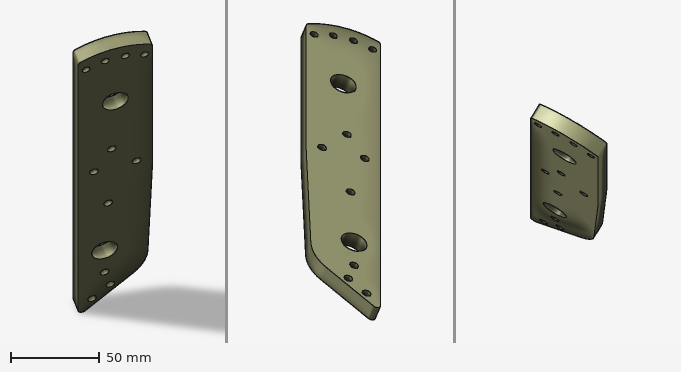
import math

import cadquery as cq

thickness = 9.53
width = 44.45
height = 242.8
half_width = width / 2
top_z = height / 2
bottom_z = -height / 2

corner_radius = 3.0
tip_radius = 2.6
crown_radius = 50.25
taper_start_z = 5.0
taper_angle = 1.93
slope_angle = 40.0
heel_radius = 25.4
tip_center = (-half_width + tip_radius, bottom_z + tip_radius)

bore_diameter = 15.25
bore_spacing_z = 139.3
upper_bore = (0.0, top_z - crown_radius)
lower_bore = (-6.35, upper_bore[1] - bore_spacing_z)

small_hole_diameter = 5.05
arc_hole_diameter = 4.6
arc_hole_radius = 41.2
arc_hole_pitch = 16.67
arc_hole_count = 4
middle_holes = [
    (-2.15, 26.7),
    (12.7, 9.25),
    (-12.7, 9.25),
    (-4.3, -24.0),
]
below_bore_drop = 20.7
below_bore_hole = (lower_bore[0], lower_bore[1] - below_bore_drop)
slope_hole = (-2.95, -101.8)
slope_hole_spacing = 14.2


def polar(center, radius, degrees):
    """Point at a distance and angle (from +Y toward +Z) from a centre."""
    angle = math.radians(degrees)
    return (center[0] + radius * math.cos(angle), center[1] + radius * math.sin(angle))


def sharp_heel(slope_start):
    """Corner where the tapered edge would meet the sloped edge without a blend."""
    slope = math.tan(math.radians(slope_angle))
    lean = math.tan(math.radians(taper_angle))
    base_y = half_width - lean * taper_start_z
    heel_z = slope_start[1] + slope * (base_y - slope_start[0])
    heel_z /= 1 - slope * lean
    return (base_y + lean * heel_z, heel_z)


def heel_blend(heel):
    """Start, middle and end of the arc that is tangent to both edges at the heel."""
    turn = 90 - slope_angle - taper_angle
    setback = heel_radius * math.tan(math.radians(turn / 2))
    start = polar(heel, setback, 90 - taper_angle)
    end = polar(heel, setback, 180 + slope_angle)
    center = polar(start, heel_radius, 180 - taper_angle)
    middle = polar(center, heel_radius, -taper_angle - turn / 2)
    return start, middle, end


def plate():
    """Solid plate with the full outline, before any holes."""
    corner_y = half_width - corner_radius
    center_distance = crown_radius - corner_radius
    corner_angle = math.degrees(math.acos(corner_y / center_distance))
    right_corner = polar(upper_bore, center_distance, corner_angle)
    left_corner = (-right_corner[0], right_corner[1])
    corner_end_right = (half_width, right_corner[1])
    corner_end_left = (-half_width, left_corner[1])
    crown_right = polar(upper_bore, crown_radius, corner_angle)
    crown_left = (-crown_right[0], crown_right[1])
    crown_top = (upper_bore[0], top_z)
    corner_mid_right = polar(right_corner, corner_radius, corner_angle / 2)
    corner_mid_left = polar(left_corner, corner_radius, 180 - corner_angle / 2)

    slope_start = polar(tip_center, tip_radius, slope_angle - 90)
    heel = sharp_heel(slope_start)
    tip_bottom = (tip_center[0], bottom_z)
    heel_start, heel_middle, heel_end = heel_blend(heel)

    return (
        cq.Workplane("YZ", origin=(-thickness / 2, 0, 0))
        .moveTo(-half_width, tip_center[1])
        .lineTo(*corner_end_left)
        .threePointArc(corner_mid_left, crown_left)
        .threePointArc(crown_top, crown_right)
        .threePointArc(corner_mid_right, corner_end_right)
        .lineTo(half_width, taper_start_z)
        .lineTo(*heel_start)
        .threePointArc(heel_middle, heel_end)
        .lineTo(*slope_start)
        .threePointArc(tip_bottom, (-half_width, tip_center[1]))
        .close()
        .extrude(thickness)
    )


def through_holes(points, diameter):
    """Cylinders through the thickness at (Y, Z) centres."""
    return (
        cq.Workplane("YZ", origin=(-thickness / 2, 0, 0))
        .pushPoints(points)
        .circle(diameter / 2)
        .extrude(thickness)
    )


def arc_hole_points():
    """Centres of the holes that follow the crown, symmetric about its middle."""
    first_angle = 90 - arc_hole_pitch * (arc_hole_count - 1) / 2
    return [
        polar(upper_bore, arc_hole_radius, first_angle + i * arc_hole_pitch)
        for i in range(arc_hole_count)
    ]


def small_hole_points():
    """Centres of the holes in the middle of the plate and near its lower end."""
    next_slope_hole = polar(slope_hole, slope_hole_spacing, 180 + slope_angle)
    return middle_holes + [below_bore_hole, slope_hole, next_slope_hole]


result = (
    plate()
    .cut(through_holes([upper_bore, lower_bore], bore_diameter))
    .cut(through_holes(arc_hole_points(), arc_hole_diameter))
    .cut(through_holes(small_hole_points(), small_hole_diameter))
)